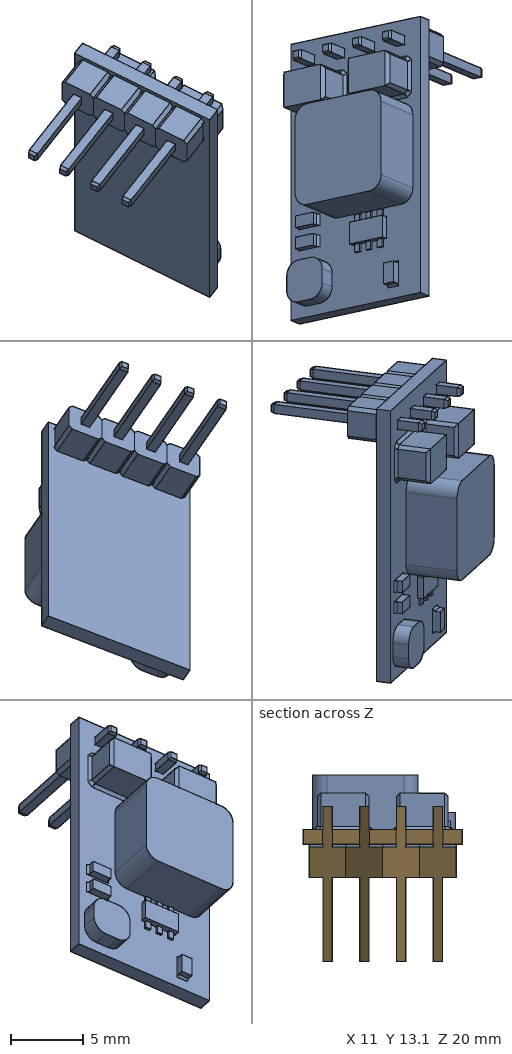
import cadquery as cq
import math


OVERALL_DEPTH = 13.1

BOARD_WIDTH = 11.0
BOARD_LENGTH = 20.0
BOARD_THICKNESS = 1.05

PIN_COUNT = 4
PIN_PITCH = 2.55
HEADER_Z = 18.52
HEADER_HEIGHT = 2.38
HEADER_DEPTH = 2.3
HEADER_CHAMFER = 0.25
CHANNEL_DEPTH = 0.18
PIN_SIZE = 0.65
PIN_BACK = 1.78
PIN_FRONT = 8.3
PIN_TIP_LENGTH = 0.25
PIN_TIP_INSET = 0.08

SKIRT_HEIGHT = 0.18
SKIRT_REACH = 0.25
END_SOLDER_SIZE = 0.15

CAPACITOR_WIDTH = 3.55
CAPACITOR_LENGTH = 2.55
CAPACITOR_HEIGHT = 2.5
CAPACITOR_CHAMFER = 0.25
CAPACITOR_X = 2.75
CAPACITOR_Z = 15.85

INDUCTOR_SIDE = 7.3
INDUCTOR_HEIGHT = OVERALL_DEPTH - PIN_FRONT - BOARD_THICKNESS
INDUCTOR_RADIUS = 1.0
INDUCTOR_X = -1.2
INDUCTOR_Z = 10.35

TRIMMER_SIDE = 3.02
TRIMMER_HEIGHT = 1.15
TRIMMER_RADIUS = 1.0
TRIMMER_X = 3.52
TRIMMER_Z = 2.3

CHIP_WIDTH = 2.8
CHIP_LENGTH = 1.58
CHIP_HEIGHT = 0.45
CHIP_X = INDUCTOR_X
CHIP_Z = 5.25
LEAD_COUNT = 3
LEAD_PITCH = 0.95
LEAD_WIDTH = 0.4
LEAD_SPAN = 2.72
LEAD_HEIGHT = 0.18

RESISTOR_LONG = 1.5
RESISTOR_SHORT = 0.85
RESISTOR_HEIGHT = 0.55
SIDE_RESISTOR_X = 3.95
SIDE_RESISTOR_ZS = (5.32, 6.85)
LOWER_RESISTOR_X = -3.2
LOWER_RESISTOR_Z = 1.75


def block(x_size, z_size, y_start, y_end, x, z):
    """Box centred on (x, z) that runs from y_start to y_end."""
    depth = y_end - y_start
    return cq.Workplane("XY").box(x_size, depth, z_size).translate((x, (y_start + y_end) / 2, z))


def mounted_block(x_size, z_size, height, x, z):
    """Box that stands on the back face of the board."""
    return block(x_size, z_size, BOARD_THICKNESS, BOARD_THICKNESS + height, x, z)


def solder_skirt(component):
    """Flared foot that widens from the component's outline down to the board."""
    outline = component.faces("<Y").wires().val().translate(cq.Vector(0, SKIRT_HEIGHT, 0))
    flare = math.degrees(math.atan2(SKIRT_REACH, SKIRT_HEIGHT))
    skirt = cq.Solid.extrudeLinear(outline, [], cq.Vector(0, -SKIRT_HEIGHT, 0), -flare)
    return cq.Workplane(obj=skirt)


def capacitor(x):
    """Capacitor with bevelled corners and side edges, on its solder skirt."""
    body = mounted_block(CAPACITOR_WIDTH, CAPACITOR_LENGTH, CAPACITOR_HEIGHT, x, CAPACITOR_Z)
    body = body.edges("|Y").chamfer(CAPACITOR_CHAMFER)
    body = body.faces(">Y").edges("|Z").chamfer(CAPACITOR_CHAMFER)
    return body.union(solder_skirt(body))


def resistor(x, z, turned=False):
    """Resistor along X, or along Z when turned, with a solder fillet at each end."""
    half_length = RESISTOR_LONG / 2
    half_foot = half_length + END_SOLDER_SIZE
    profile = [
        (-half_foot, 0),
        (half_foot, 0),
        (half_length, END_SOLDER_SIZE),
        (half_length, RESISTOR_HEIGHT),
        (-half_length, RESISTOR_HEIGHT),
        (-half_length, END_SOLDER_SIZE),
    ]
    body = cq.Workplane("XY").polyline(profile).close().extrude(RESISTOR_SHORT / 2, both=True)
    if turned:
        body = body.rotate((0, 0, 0), (0, 1, 0), 90)
    return body.translate((x, BOARD_THICKNESS, z))


def rounded_component(side, height, radius, x, z):
    """Square component with rounded upright edges."""
    return mounted_block(side, side, height, x, z).edges("|Y").fillet(radius)


def chip():
    """Low chip with a row of leads along each of two sides."""
    body = mounted_block(CHIP_WIDTH, CHIP_LENGTH, CHIP_HEIGHT, CHIP_X, CHIP_Z)
    for i in range(LEAD_COUNT):
        lead_x = CHIP_X + (i - (LEAD_COUNT - 1) / 2) * LEAD_PITCH
        body = body.union(mounted_block(LEAD_WIDTH, LEAD_SPAN, LEAD_HEIGHT, lead_x, CHIP_Z))
    return body


def populated_board(pin_xs):
    """Board with its components, and square holes for the header pins."""
    board = block(BOARD_WIDTH, BOARD_LENGTH, 0, BOARD_THICKNESS, 0, BOARD_LENGTH / 2)
    for x in pin_xs:
        board = board.cut(block(PIN_SIZE, PIN_SIZE, 0, BOARD_THICKNESS, x, HEADER_Z))
    for x in (-CAPACITOR_X, CAPACITOR_X):
        board = board.union(capacitor(x))
    board = board.union(
        rounded_component(INDUCTOR_SIDE, INDUCTOR_HEIGHT, INDUCTOR_RADIUS, INDUCTOR_X, INDUCTOR_Z)
    )
    board = board.union(
        rounded_component(TRIMMER_SIDE, TRIMMER_HEIGHT, TRIMMER_RADIUS, TRIMMER_X, TRIMMER_Z)
    )
    board = board.union(chip())
    for z in SIDE_RESISTOR_ZS:
        board = board.union(resistor(SIDE_RESISTOR_X, z))
    return board.union(resistor(LOWER_RESISTOR_X, LOWER_RESISTOR_Z, turned=True))


def pin_tip(x, y_base, direction):
    """Tapered pin end that starts at y_base and points along +Y (1) or -Y (-1)."""
    tip_size = PIN_SIZE - 2 * PIN_TIP_INSET
    return (
        cq.Workplane("XZ", origin=(x, y_base, HEADER_Z))
        .rect(PIN_SIZE, PIN_SIZE)
        .workplane(offset=-direction * PIN_TIP_LENGTH)
        .rect(tip_size, tip_size)
        .loft()
    )


def pin(x):
    """Square pin, tapered at both ends."""
    front = -PIN_FRONT + PIN_TIP_LENGTH
    back = BOARD_THICKNESS + PIN_BACK - PIN_TIP_LENGTH
    shank = block(PIN_SIZE, PIN_SIZE, front, back, x, HEADER_Z)
    return shank.union(pin_tip(x, front, -1)).union(pin_tip(x, back, 1))


def header_unit(x):
    """One header position: a chamfered block with its pin, which passes through the board."""
    holder = block(PIN_PITCH, HEADER_HEIGHT, -HEADER_DEPTH, 0, x, HEADER_Z)
    holder = holder.edges("|Y").chamfer(HEADER_CHAMFER)
    channel_height = HEADER_HEIGHT - 2 * HEADER_CHAMFER
    holder = holder.cut(block(PIN_PITCH, channel_height, -CHANNEL_DEPTH, 0, x, HEADER_Z))
    return holder.union(pin(x))


pin_xs = [(i - (PIN_COUNT - 1) / 2) * PIN_PITCH for i in range(PIN_COUNT)]
board = populated_board(pin_xs)
header_units = [header_unit(x) for x in pin_xs]

result = cq.Compound.makeCompound([board.val(), *[unit.val() for unit in header_units]])